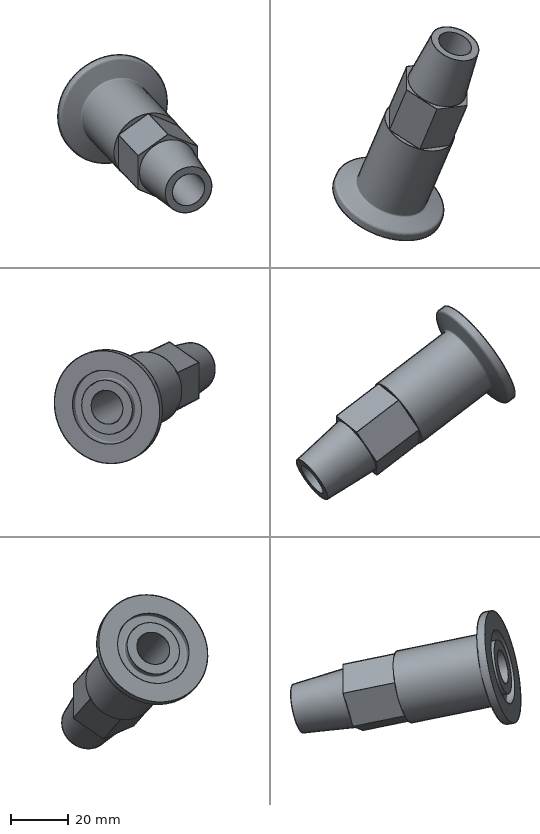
import cadquery as cq
import math

TOTAL_LENGTH = 75.0
BORE_DIAMETER = 12.0

FLANGE_DIAMETER = 40.0
RIM_WIDTH = 3.0
CLAMP_ANGLE = 15.0
RIM_FILLET = 1.0
NECK_FILLET = 0.5

GROOVE_OUTER_DIAMETER = 26.2
GROOVE_INNER_DIAMETER = 19.2
GROOVE_DEPTH = 2.5
GROOVE_FLOOR_FILLET = 0.3

HEX_SIDES = 6
HEX_ACROSS_FLATS = 22.2
BODY_DIAMETER = HEX_ACROSS_FLATS / math.cos(math.pi / HEX_SIDES)
BODY_END = 36.0
HEX_LENGTH = 19.0
HEX_END = BODY_END + HEX_LENGTH

SPIGOT_ROOT_DIAMETER = 21.2
SPIGOT_TIP_DIAMETER = 17.4


def revolve_about_x(profile):
    """Revolve an XZ half profile (X along the axis, Z as radius)."""
    return profile.close().revolve(360, (0, 0, 0), (1, 0, 0))


def cylinder(diameter, length):
    """Solid cylinder on the X axis, starting at the flange face."""
    profile = (
        cq.Workplane("XZ")
        .lineTo(0, diameter / 2)
        .lineTo(length, diameter / 2)
        .lineTo(length, 0)
    )
    return revolve_about_x(profile)


def flange_and_body():
    """Flange with a conical clamping back, blending into the round body."""
    flange_radius = FLANGE_DIAMETER / 2
    body_radius = BODY_DIAMETER / 2
    cone_end = RIM_WIDTH + (flange_radius - body_radius) * math.tan(math.radians(CLAMP_ANGLE))
    profile = (
        cq.Workplane("XZ")
        .lineTo(0, flange_radius)
        .lineTo(RIM_WIDTH, flange_radius)
        .lineTo(cone_end, body_radius)
        .lineTo(BODY_END, body_radius)
        .lineTo(BODY_END, 0)
    )
    solid = revolve_about_x(profile)
    rim_edge = cq.selectors.RadiusNthSelector(-1)
    solid = solid.faces("%CONE").edges(rim_edge).fillet(RIM_FILLET)
    neck_edge = cq.selectors.RadiusNthSelector(0)
    return solid.faces("%CONE").edges(neck_edge).fillet(NECK_FILLET)


def hexagon():
    """Wrench hexagon with two corners on the Z axis."""
    section = cq.Workplane("YZ", origin=(BODY_END, 0, 0)).transformed(rotate=(0, 0, 90))
    return section.polygon(HEX_SIDES, BODY_DIAMETER).extrude(HEX_LENGTH)


def spigot():
    """Tapered end that narrows towards its tip."""
    profile = (
        cq.Workplane("XZ")
        .moveTo(HEX_END, 0)
        .lineTo(HEX_END, SPIGOT_ROOT_DIAMETER / 2)
        .lineTo(TOTAL_LENGTH, SPIGOT_TIP_DIAMETER / 2)
        .lineTo(TOTAL_LENGTH, 0)
    )
    return revolve_about_x(profile)


def groove_cutter():
    """Ring that cuts the centring groove, rounded at the groove floor."""
    ring = cylinder(GROOVE_OUTER_DIAMETER, GROOVE_DEPTH)
    ring = ring.cut(cylinder(GROOVE_INNER_DIAMETER, GROOVE_DEPTH))
    return ring.faces(">X").edges().fillet(GROOVE_FLOOR_FILLET)


result = flange_and_body().union(hexagon()).union(spigot())
result = result.cut(groove_cutter())
result = result.cut(cylinder(BORE_DIAMETER, TOTAL_LENGTH))